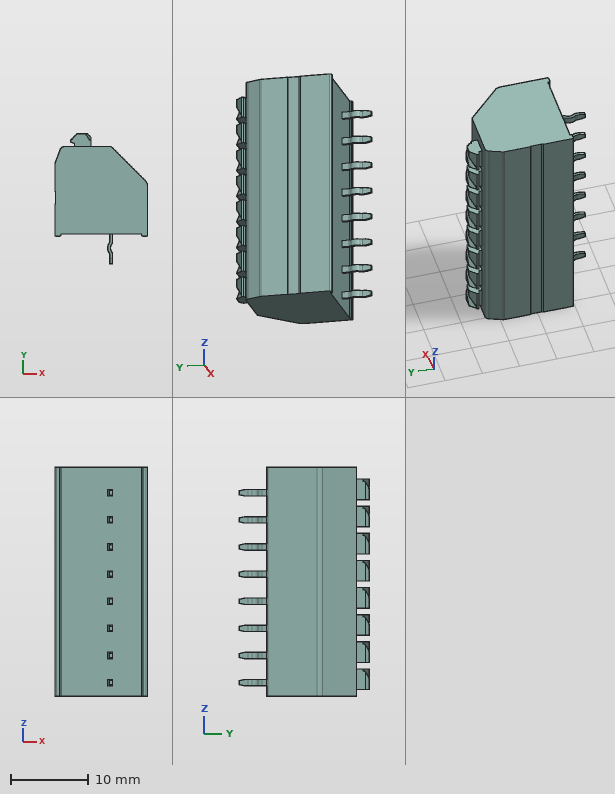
import cadquery as cq
import math


HOUSING_LENGTH = 29.6
HOUSING_WIDTH = 12.0
HOUSING_HEIGHT = 11.6
FOOT_HEIGHT = 0.3
FOOT_WIDTH = 0.8
FOOT_FILLET = 0.2
FOOT_CHAMFER_RUN = 0.18
FOOT_CHAMFER_RISE = 0.12
BACK_SLOPE_START = 9.4
BACK_SLOPE_RUN = 0.83
BACK_TOP_FILLET = 0.6
BACK_BEND_FILLET = 0.6
ENTRY_SLOPE_X = 7.28
ENTRY_FILLET = 1.0
PANEL_TOP = 5.83
PANEL_TOP_RUN = 0.1
PANEL_BOTTOM = 4.08
PANEL_BOTTOM_RUN = 0.2
PANEL_DEPTH = 0.1

POLE_COUNT = 8
POLE_SPAN = 24.5
POLE_PITCH = POLE_SPAN / (POLE_COUNT - 1)
FIRST_PIN_Z = 1.78
BUTTON_OFFSET_Z = 0.45

BUTTON_LENGTH = 2.7
BUTTON_TOP = HOUSING_HEIGHT + 1.65
BUTTON_TIP_X = 2.0
BUTTON_STEM_X = 2.52
BUTTON_BACK_X = 4.68
BUTTON_SLOPE = 0.85
BUTTON_CHAMFER = 0.47
HOOK_FLAT = 0.25
HOOK_RISE = 0.18
SLOT_DEPTH = 0.8
SLOT_FLOOR_WIDTH = 0.27
SLOT_TOP_WIDTH = 1.1

PIN_X = 7.28
PIN_THICKNESS = 0.38
PIN_WIDTH = 0.85
PIN_TIP_WIDTH = 0.53
PIN_END_Y = -3.55
PIN_TAPER_LENGTH = 0.75
BEND_CENTRE_Y = -1.5
BEND_HALF_LENGTH = 0.92
BEND_OFFSET = 0.28
BEND_EASE_RADIUS = 0.7
EMBED = 0.3


def make_housing():
    entry_end_y = HOUSING_HEIGHT - (HOUSING_WIDTH - ENTRY_SLOPE_X)
    foot_tip_width = FOOT_WIDTH - FOOT_CHAMFER_RUN
    outline = [
        (0, 0),
        (0, PANEL_BOTTOM),
        (PANEL_DEPTH, PANEL_BOTTOM + PANEL_BOTTOM_RUN),
        (PANEL_DEPTH, PANEL_TOP - PANEL_TOP_RUN),
        (0, PANEL_TOP),
        (0, BACK_SLOPE_START),
        (BACK_SLOPE_RUN, HOUSING_HEIGHT),
        (ENTRY_SLOPE_X, HOUSING_HEIGHT),
        (HOUSING_WIDTH, entry_end_y),
        (HOUSING_WIDTH, 0),
        (HOUSING_WIDTH - foot_tip_width, 0),
        (HOUSING_WIDTH - FOOT_WIDTH, FOOT_CHAMFER_RISE),
        (HOUSING_WIDTH - FOOT_WIDTH, FOOT_HEIGHT),
        (FOOT_WIDTH, FOOT_HEIGHT),
        (FOOT_WIDTH, FOOT_CHAMFER_RISE),
        (foot_tip_width, 0),
    ]
    housing = cq.Workplane("XY").polyline(outline).close().extrude(HOUSING_LENGTH)
    rounded_corners = [
        (0, 0, FOOT_FILLET),
        (HOUSING_WIDTH, 0, FOOT_FILLET),
        (0, BACK_SLOPE_START, BACK_BEND_FILLET),
        (BACK_SLOPE_RUN, HOUSING_HEIGHT, BACK_TOP_FILLET),
        (HOUSING_WIDTH, entry_end_y, ENTRY_FILLET),
    ]
    for x, y, radius in rounded_corners:
        corner = cq.selectors.NearestToPointSelector((x, y, HOUSING_LENGTH / 2))
        housing = housing.edges("|Z").edges(corner).fillet(radius)
    return housing


def make_button(centre_z):
    tip_top = BUTTON_TOP - BUTTON_SLOPE
    tip_bottom = tip_top - HOOK_FLAT
    outline = [
        (BUTTON_STEM_X, HOUSING_HEIGHT - EMBED),
        (BUTTON_STEM_X, tip_bottom - HOOK_RISE),
        (BUTTON_TIP_X, tip_bottom),
        (BUTTON_TIP_X, tip_top),
        (BUTTON_TIP_X + BUTTON_SLOPE, BUTTON_TOP),
        (BUTTON_BACK_X - BUTTON_CHAMFER, BUTTON_TOP),
        (BUTTON_BACK_X, BUTTON_TOP - BUTTON_CHAMFER),
        (BUTTON_BACK_X, HOUSING_HEIGHT - EMBED),
    ]
    button = (
        cq.Workplane("XY", origin=(0, 0, centre_z))
        .polyline(outline)
        .close()
        .extrude(BUTTON_LENGTH / 2, both=True)
    )
    return button.cut(make_driver_slot(centre_z))


def make_driver_slot(centre_z):
    """Tapered screwdriver slot running diagonally across the button top."""
    centre_x = (BUTTON_TIP_X + BUTTON_BACK_X) / 2
    across_slot = cq.Plane(
        origin=(centre_x, BUTTON_TOP - SLOT_DEPTH, centre_z),
        xDir=(1, 0, -1),
        normal=(1, 0, 1),
    )
    section = [
        (-SLOT_FLOOR_WIDTH / 2, 0),
        (SLOT_FLOOR_WIDTH / 2, 0),
        (SLOT_TOP_WIDTH / 2, SLOT_DEPTH),
        (-SLOT_TOP_WIDTH / 2, SLOT_DEPTH),
    ]
    return cq.Workplane(across_slot).polyline(section).close().extrude(BUTTON_LENGTH, both=True)


def make_pin(centre_z):
    half = PIN_THICKNESS / 2
    turn = 2 * math.atan2(BEND_OFFSET, BEND_HALF_LENGTH)
    bend_top = BEND_CENTRE_Y + BEND_HALF_LENGTH
    bend_bottom = BEND_CENTRE_Y - BEND_HALF_LENGTH
    pin_top = FOOT_HEIGHT + EMBED

    def bend_points(side):
        """Points down one face of the bend: side is -1 for -X, +1 for +X."""
        straight_x = PIN_X + side * half
        ease = BEND_EASE_RADIUS + side * half
        crest_x = straight_x - BEND_OFFSET

        def ease_point(angle):
            return straight_x - ease * (1 - math.cos(angle)), ease * math.sin(angle)

        mid_x, mid_drop = ease_point(turn / 2)
        end_x, end_drop = ease_point(turn)
        return [
            (straight_x, bend_top),
            (mid_x, bend_top - mid_drop),
            (end_x, bend_top - end_drop),
            (crest_x, BEND_CENTRE_Y),
            (end_x, bend_bottom + end_drop),
            (mid_x, bend_bottom + mid_drop),
            (straight_x, bend_bottom),
        ]

    def add_bend(path, points):
        path = path.lineTo(*points[0])
        for middle, end in zip(points[1::2], points[2::2]):
            path = path.threePointArc(middle, end)
        return path

    path = cq.Workplane("XY", origin=(0, 0, centre_z)).moveTo(PIN_X - half, pin_top)
    path = add_bend(path, bend_points(-1))
    path = path.lineTo(PIN_X - half, PIN_END_Y).lineTo(PIN_X + half, PIN_END_Y)
    path = add_bend(path, bend_points(1)[::-1])
    strip = path.lineTo(PIN_X + half, pin_top).close().extrude(PIN_WIDTH / 2, both=True)

    taper_y = PIN_END_Y + PIN_TAPER_LENGTH
    face = [
        (pin_top, -PIN_WIDTH / 2),
        (pin_top, PIN_WIDTH / 2),
        (taper_y, PIN_WIDTH / 2),
        (PIN_END_Y, PIN_TIP_WIDTH / 2),
        (PIN_END_Y, -PIN_TIP_WIDTH / 2),
        (taper_y, -PIN_WIDTH / 2),
    ]
    blank = (
        cq.Workplane("YZ", origin=(PIN_X, 0, centre_z))
        .polyline(face)
        .close()
        .extrude(PIN_THICKNESS + BEND_OFFSET, both=True)
    )
    return strip.intersect(blank)


result = make_housing()
for pole in range(POLE_COUNT):
    pin_z = FIRST_PIN_Z + pole * POLE_PITCH
    result = result.union(make_button(pin_z + BUTTON_OFFSET_Z))
    result = result.union(make_pin(pin_z))